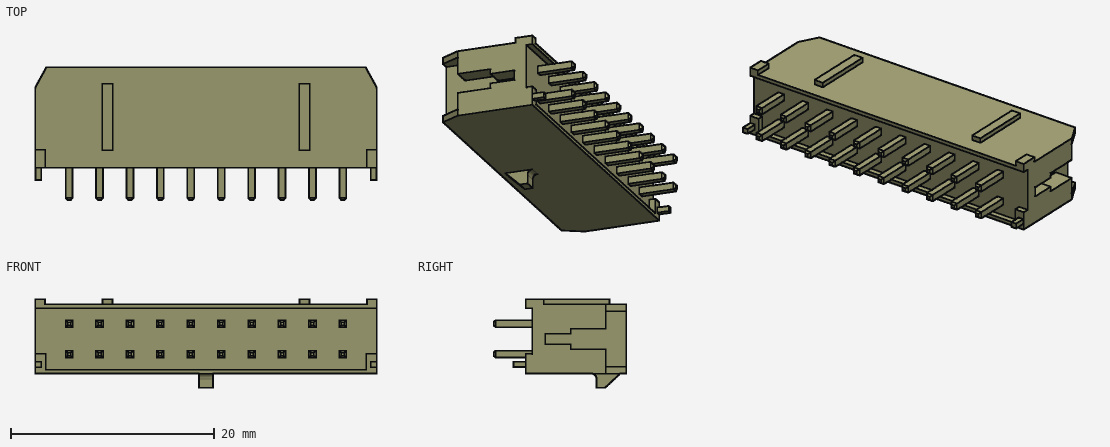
import cadquery as cq
import math

body_length = 33.65
body_depth = 9.93
body_height = 6.83

recess_depth = 0.65
lip_height = 0.4
foot_width = 1.05
foot_height = 1.95

notch_depth = 2.02
slot_inset = 2.0
wall_thickness = 0.67
wide_slot_height = 2.02
wide_slot_end = 5.5
narrow_slot_height = 1.0
narrow_slot_end = 8.0
corner_cut = 1.1

pad_height = 0.5
rib_width = 1.0
rib_start = 1.65
rib_length = 6.53
rib_spacing = 19.38
stop_width = 0.98
stop_length = 1.8

latch_width = 1.38
latch_height = 1.4
latch_toe = 0.6
latch_ramp_end = 2.12
latch_heel = 2.95
latch_root_radius = 0.5

pin_columns = 10
pin_pitch = 3.0
pin_size = 0.7
pin_tip = 0.2
pin_reach = 13.1

tab_width = 0.57
tab_inset = 0.05
tab_height = 0.55
tab_bottom = 0.65
tab_length = 1.2

half_length = body_length / 2
middle_z = body_height / 2
recess_y = recess_depth - body_depth


def box(x0, x1, y0, y1, z0, z1):
    """Box between two opposite corners."""
    size = (x1 - x0, y1 - y0, z1 - z0)
    return cq.Workplane("XY").box(*size, centered=False).translate((x0, y0, z0))


def mirrored(shape):
    """A left-hand shape together with its copy at the right."""
    return shape.union(shape.mirror("YZ"))


def housing():
    """Block with its two mating-end corners cut off."""
    return (
        cq.Workplane("XY")
        .moveTo(-half_length, -body_depth)
        .lineTo(half_length, -body_depth)
        .lineTo(half_length, -notch_depth)
        .lineTo(half_length - corner_cut, 0)
        .lineTo(corner_cut - half_length, 0)
        .lineTo(-half_length, -notch_depth)
        .close()
        .extrude(body_height)
    )


def solder_side_recess():
    """Shallow recess open at both ends, leaving top and bottom lips and two feet."""
    foot_edge = half_length - foot_width
    upper = box(-half_length, half_length, -body_depth, recess_y, foot_height, body_height - lip_height)
    lower = box(-foot_edge, foot_edge, -body_depth, recess_y, lip_height, foot_height)
    return upper.union(lower)


def end_slots():
    """Notch and two-step keying slot, cut into each end."""
    inner = slot_inset - half_length

    def slot(end, height):
        bottom = middle_z - height / 2
        return box(-half_length, inner, -end, 0, bottom, bottom + height)

    notch = box(-half_length, inner, -notch_depth, 0, wall_thickness, body_height - wall_thickness)
    wide_slot = slot(wide_slot_end, wide_slot_height)
    narrow_slot = slot(narrow_slot_end, narrow_slot_height)
    return mirrored(notch.union(wide_slot).union(narrow_slot))


def top_pads():
    """Two long ribs and two corner stops."""
    top = body_height + pad_height
    rib_x = -(rib_spacing + rib_width) / 2
    rib_y = -rib_start - rib_length
    rib = box(rib_x, rib_x + rib_width, rib_y, -rib_start, body_height, top)
    stop_x = stop_width - half_length
    stop_y = stop_length - body_depth
    stop = box(-half_length, stop_x, -body_depth, stop_y, body_height, top)
    return mirrored(rib.union(stop))


def latch():
    """Ramped hook in the middle of the bottom face."""
    arc_middle = latch_root_radius * (1 - math.sin(math.pi / 4))
    return (
        cq.Workplane("YZ")
        .moveTo(-latch_toe, 0)
        .lineTo(-latch_ramp_end, -latch_height)
        .lineTo(-latch_heel, -latch_height)
        .lineTo(-latch_heel, -latch_root_radius)
        .threePointArc((-latch_heel - arc_middle, -arc_middle), (-latch_heel - latch_root_radius, 0))
        .close()
        .extrude(latch_width / 2, both=True)
    )


def pins():
    """Two rows of square pins with chamfered tips."""
    return (
        cq.Workplane("XZ", origin=(0, recess_y, middle_z))
        .rarray(pin_pitch, pin_pitch, pin_columns, 2)
        .rect(pin_size, pin_size)
        .extrude(pin_reach + recess_y)
        .faces("<Y")
        .chamfer(pin_tip)
    )


def retention_tabs():
    """Small tabs projecting from the two feet."""
    outer_x = tab_inset - half_length
    tip_y = -body_depth - tab_length
    tab = box(outer_x, outer_x + tab_width, tip_y, -body_depth, tab_bottom, tab_bottom + tab_height)
    return mirrored(tab)


result = (
    housing()
    .cut(solder_side_recess())
    .cut(end_slots())
    .union(top_pads())
    .union(latch())
    .union(pins())
    .union(retention_tabs())
)